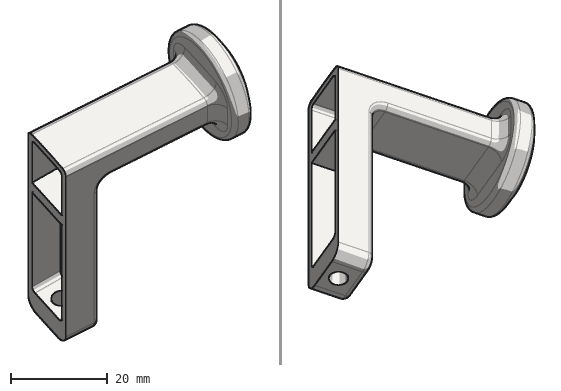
import cadquery as cq
import math

button_diameter = 25.0
button_radius = button_diameter / 2
button_center_z = 50.0
button_front_y = 38.25
rim_thickness = 4.25
dome_height = 3.5
rim_fillet = 1.0

lever_width = 14.0
arm_top_z = 54.0
arm_crown = 0.25
arm_bottom_z = 46.0
leg_thickness = 8.4
inner_corner_radius = 3.0
lever_edge_fillet = 1.4
leg_tip_radius = 3.0
neck_fillet = 3.0

side_wall = 1.5
pocket_width = lever_width - 2 * side_wall
pocket_depth = 7.0
pocket_corner_radius = 1.0
upper_pocket_bottom_z = 39.05
upper_pocket_top_z = 52.2
lower_pocket_bottom_z = 5.95
lower_pocket_top_z = 36.05
floor_slope = 5.0

hole_diameter = 4.0
hole_y = pocket_depth / 2


def make_button():
    """Disc with a spherical dome, revolved about the Y axis and raised into place."""
    rim_back_y = button_front_y + rim_thickness
    apex_y = rim_back_y + dome_height
    dome_radius = (button_radius**2 + dome_height**2) / (2 * dome_height)
    half_angle = math.asin(button_radius / dome_radius) / 2
    dome_middle = (
        dome_radius * math.sin(half_angle),
        apex_y - dome_radius * (1 - math.cos(half_angle)),
    )
    button = (
        cq.Workplane("XY")
        .moveTo(0, button_front_y)
        .lineTo(button_radius, button_front_y)
        .lineTo(button_radius, rim_back_y)
        .threePointArc(dome_middle, (0, apex_y))
        .close()
        .revolve(360, (0, 0), (0, 1))
    )
    rim_edges = button.faces("%CYLINDER").edges("%CIRCLE")
    return rim_edges.fillet(rim_fillet).translate((0, 0, button_center_z))


def make_lever():
    """L profile trimmed to the crowned, round-cornered front outline."""
    side_profile = (
        cq.Workplane("YZ")
        .polyline([
            (0, 0),
            (leg_thickness, 0),
            (leg_thickness, arm_bottom_z),
            (button_front_y, arm_bottom_z),
            (button_front_y, arm_top_z),
            (0, arm_top_z),
        ])
        .close()
        .extrude(lever_width / 2, both=True)
    )
    inner_corner = cq.selectors.NearestToPointSelector((0, leg_thickness, arm_bottom_z))
    side_profile = side_profile.edges(inner_corner).fillet(inner_corner_radius)

    half_width = lever_width / 2
    shoulder_z = arm_top_z - arm_crown
    front_outline = (
        cq.Workplane("XZ")
        .moveTo(-half_width, 0)
        .lineTo(half_width, 0)
        .lineTo(half_width, shoulder_z)
        .threePointArc((0, arm_top_z), (-half_width, shoulder_z))
        .close()
        .extrude(-button_front_y)
    )
    front_outline = front_outline.edges("|Y").edges("<Z").fillet(leg_tip_radius)
    front_outline = front_outline.edges("|Y").edges(">Z").fillet(lever_edge_fillet)

    lever = side_profile.intersect(front_outline)
    back_face = cq.selectors.NearestToPointSelector((0, leg_thickness, arm_bottom_z / 2))
    return lever.faces(back_face).edges("<Z").fillet(lever_edge_fillet)


def join_with_neck(lever, button):
    """Unite arm and button with a flared neck around the joint."""
    margin = 0.05
    half_width = lever_width / 2
    joint_box = cq.selectors.BoxSelector(
        (-half_width - margin, button_front_y - margin, arm_bottom_z - margin),
        (half_width + margin, button_front_y + margin, arm_top_z + margin),
        boundingbox=True,
    )
    return lever.union(button).edges(joint_box).fillet(neck_fillet)


def make_pocket(bottom_z, top_z, rounded_end):
    """Pocket cutter with a sloping floor and two rounded corners at one end (">Z" or "<Z")."""
    floor_rise = pocket_depth * math.tan(math.radians(floor_slope))
    pocket = (
        cq.Workplane("YZ")
        .polyline([
            (0, bottom_z),
            (pocket_depth, bottom_z + floor_rise),
            (pocket_depth, top_z),
            (0, top_z),
        ])
        .close()
        .extrude(pocket_width / 2, both=True)
    )
    return pocket.faces(rounded_end).edges("<X or >X").fillet(pocket_corner_radius)


lever = make_lever()
button = make_button()
body = join_with_neck(lever, button)

upper_pocket = make_pocket(upper_pocket_bottom_z, upper_pocket_top_z, ">Z")
lower_pocket = make_pocket(lower_pocket_bottom_z, lower_pocket_top_z, "<Z")
hole_length = (lower_pocket_bottom_z + lower_pocket_top_z) / 2
tip_hole = cq.Workplane("XY").center(0, hole_y).circle(hole_diameter / 2).extrude(hole_length)

result = body.cut(upper_pocket).cut(lower_pocket).cut(tip_hole)